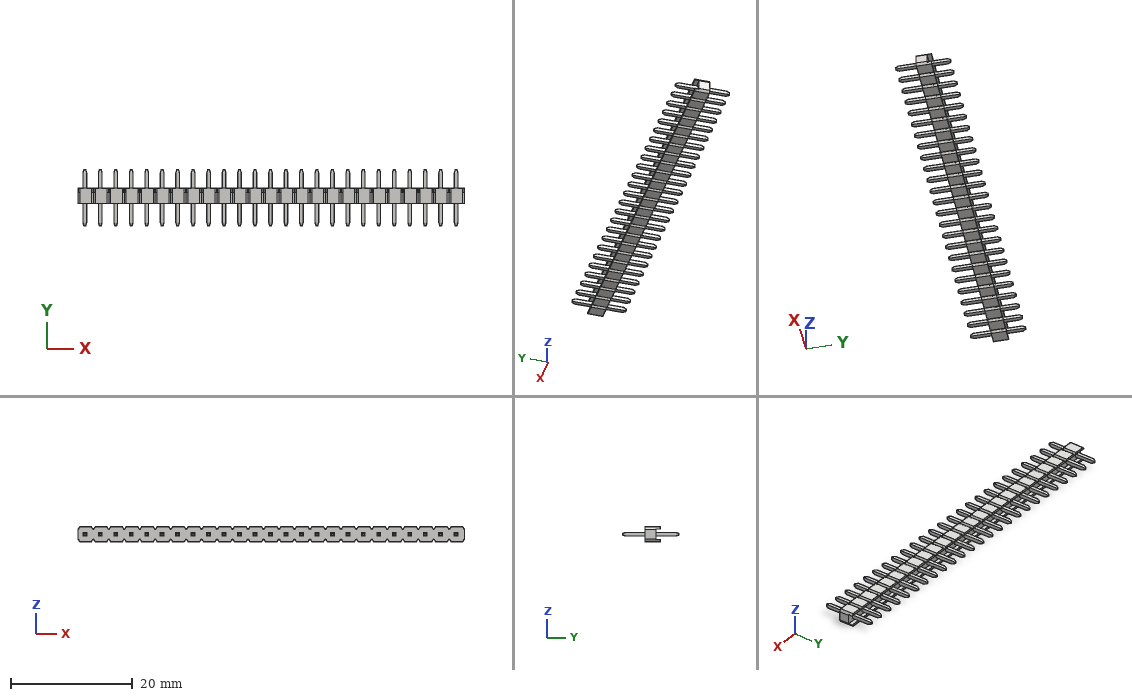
import cadquery as cq

PIN_COUNT = 25
ROW_LENGTH = 63.5
PITCH = ROW_LENGTH / PIN_COUNT

BODY_DEPTH = 2.55
BODY_HEIGHT = 2.5
BODY_CENTER_Y = 0.3
NOTCH_HALF_WIDTH = 0.3
NOTCH_DEPTH = 0.45
RECESS_DEPTH = 0.7
RECESS_HEIGHT = 1.7

PIN_LENGTH = 9.2
PIN_WIDTH = 0.65
PIN_OFFSET_X = -0.1
TIP_LENGTH = 0.5
TIP_WIDTH = 0.3

BODY_BACK_Y = BODY_CENTER_Y + BODY_DEPTH / 2


def cell_center(index):
    """X position of the middle of one housing cell."""
    return (index - (PIN_COUNT - 1) / 2) * PITCH


def make_housing():
    """Row of cells with chamfered corners, so that V notches lie between neighbours."""
    half_height = BODY_HEIGHT / 2
    shoulder = half_height - NOTCH_DEPTH
    upper = []
    lower = []
    for index in range(PIN_COUNT):
        left = cell_center(index) - PITCH / 2
        right = left + PITCH
        flat_left = left + NOTCH_HALF_WIDTH
        flat_right = right - NOTCH_HALF_WIDTH
        upper += [(left, shoulder), (flat_left, half_height), (flat_right, half_height)]
        lower += [(left, -shoulder), (flat_left, -half_height), (flat_right, -half_height)]
    row_end = ROW_LENGTH / 2
    outline = upper + [(row_end, shoulder), (row_end, -shoulder)] + lower[::-1]
    return (
        cq.Workplane("XZ", origin=(0, BODY_BACK_Y, 0))
        .polyline(outline)
        .close()
        .extrude(BODY_DEPTH)
    )


def make_recess():
    """Channel along the whole +Y face; it breaks through the bottoms of the notches."""
    return cq.Workplane("XY").box(ROW_LENGTH, RECESS_DEPTH, RECESS_HEIGHT).translate(
        (0, BODY_BACK_Y - RECESS_DEPTH / 2, 0)
    )


def make_tip(direction):
    """Tapered pin end; direction is +1 for the +Y end and -1 for the -Y end."""
    base_y = direction * (PIN_LENGTH / 2 - TIP_LENGTH)
    base = cq.Plane(origin=(0, base_y, 0), xDir=(1, 0, 0), normal=(0, direction, 0))
    return (
        cq.Workplane(base)
        .rect(PIN_WIDTH, PIN_WIDTH)
        .workplane(offset=TIP_LENGTH)
        .rect(TIP_WIDTH, TIP_WIDTH)
        .loft()
    )


def make_pin():
    """Square pin centered on the origin, with a tapered tip at each end."""
    shank = cq.Workplane("XY").box(PIN_WIDTH, PIN_LENGTH - 2 * TIP_LENGTH, PIN_WIDTH)
    return shank.union(make_tip(1)).union(make_tip(-1))


def make_pin_row():
    """One pin per cell, all shifted sideways by the same small offset."""
    pin = make_pin().val()
    positions = [(cell_center(index) + PIN_OFFSET_X, 0) for index in range(PIN_COUNT)]
    return cq.Workplane("XY").pushPoints(positions).eachpoint(lambda place: pin.moved(place))


housing = make_housing().cut(make_recess())
result = housing.union(make_pin_row())